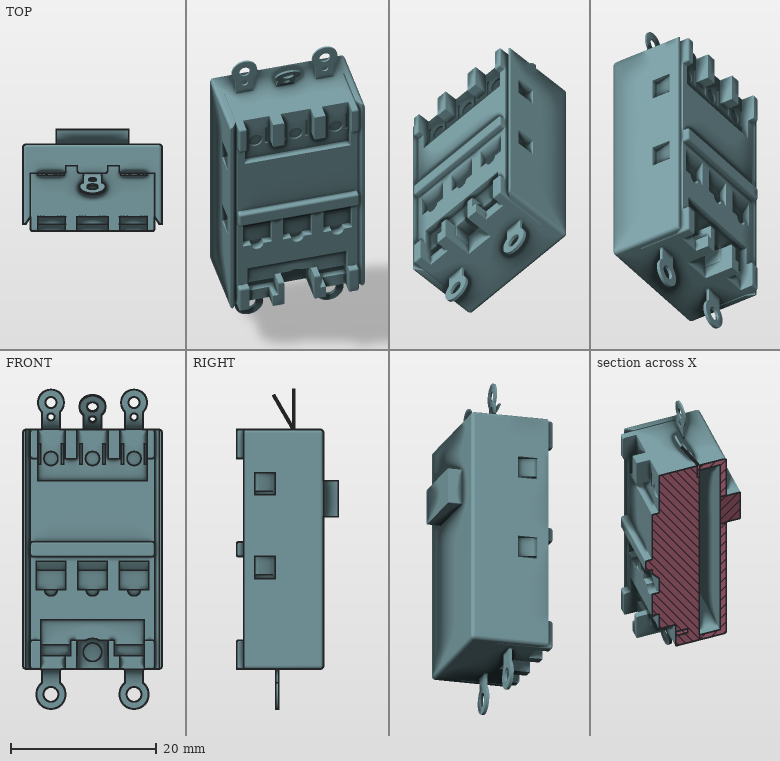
import cadquery as cq
import math


LENGTH = 33.0
COVER_WIDTH = 19.2
COVER_BACK = 11.95
BASE_WIDTH = 17.05
BASE_FRONT = 0.95
BASE_BACK = 7.95
PITCH = 5.7
COLUMNS = (-PITCH, 0, PITCH)

COVER_FILLET = 0.5
WALL = 1.0
LIP_FLAT = 0.4
LIP_BEVEL_DEPTH = 1.0

WINDOW_BOTTOMS = (12.45, 24.0)
WINDOW_HEIGHT = 3.1
WINDOW_FRONT = 2.5
WINDOW_BACK = 5.32
TAB_HEIGHT = 0.6
TAB_RAMP_FRONT = 2.9
TAB_RAMP_BACK = 4.9
TAB_BOTTOM_GAP = 0.55

BAR_FILLET = 0.25
FOOT_HEIGHT = 4.0
MIDDLE_BAR_BOTTOM = 15.5
MIDDLE_BAR_HEIGHT = 2.02
POCKET_FLOOR = 2.0

UPPER_POCKET_WIDTH = 15.05
UPPER_POCKET_HEIGHT = 7.05
UPPER_RIB_WIDTH = 1.6
UPPER_RIB_X = 2.95
SLIT_WIDTH = 0.4
SLIT_X = 1.6
SLIT_BOTTOM = 28.2
SLIT_HEIGHT = 2.8
DIMPLE_RADIUS = 0.95
DIMPLE_Z = LENGTH - FOOT_HEIGHT
RELIEF_DEPTH = 0.25

LOWER_POCKET_WIDTH = 14.25
LOWER_POCKET_HEIGHT = 6.8
LOWER_RIB_INNER = 2.15
LOWER_RIB_OUTER = 3.0
LOWER_RIB_FOOT = 3.8
STEP_Z = 1.85
NOTCH_TOP = 3.35
NOTCH_DEPTH = 0.9
SLOT_FLOOR = 4.45
SLOT_HALF_WIDTH = 2.05
RIVET_Z = 2.35
RIVET_RADIUS = 1.28
RIVET_LENGTH = 1.75
RIVET_CLEARANCE_RADIUS = 1.9

CONTACT_WINDOW_WIDTH = 4.1
CONTACT_WINDOW_BOTTOM = 10.95
CONTACT_WINDOW_TOP = 14.85
CONTACT_ROOF_DROP = 1.25
SCALLOP_RADIUS = 0.9
SCALLOP_FLOOR = 2.1

TONGUE_WIDTH = 1.6
TONGUE_BACK = 9.0
TONGUE_FILLET = 0.3

KNOB_WIDTH = 10.0
KNOB_HEIGHT = 5.0
KNOB_Z = 23.45
KNOB_BACK = 14.0
KNOB_FILLET = 0.15

LUG_REACH = 5.5
LUG_NECK = 2.5
LUG_ROOT = 2.2
UPPER_LUG_THICKNESS = 0.25
UPPER_LUG_FRONT = BASE_BACK - UPPER_LUG_THICKNESS
UPPER_LUG_RADIUS = 1.8
UPPER_LUG_HOLE = 0.75
UPPER_LUG_SMALL_HOLE = 0.5
UPPER_LUG_SMALL_HOLE_AT = 1.7
BEND_ANGLE = 30
LOWER_LUG_THICKNESS = 0.45
LOWER_LUG_RADIUS = 2.02
LOWER_LUG_HOLE = 1.0
LOWER_LUG_FRONT = 5.35
LOWER_LUG_ROOT_WIDTH = 3.05
LOWER_LUG_FLARE = (LOWER_LUG_ROOT_WIDTH - LUG_NECK) / 2

COVER_HALF = COVER_WIDTH / 2
BASE_HALF = BASE_WIDTH / 2


def block(x0, x1, y0, y1, z0, z1):
    """Box between two opposite corners."""
    return cq.Workplane("XY").box(x1 - x0, y1 - y0, z1 - z0, centered=False).translate((x0, y0, z0))


def centred_block(width, y0, y1, z0, z1):
    """Box that is symmetric about X = 0."""
    return block(-width / 2, width / 2, y0, y1, z0, z1)


def disc(radius, x, z, y0, y1):
    """Cylinder along Y."""
    return cq.Workplane("XZ", origin=(x, y0, z)).circle(radius).extrude(y0 - y1)


def both_sides(shape):
    """The shape together with its mirror image across X = 0."""
    return shape.union(shape.mirror("YZ"))


def front_bar(z0, height):
    """Raised cross bar with rounded front and end edges."""
    bar = centred_block(BASE_WIDTH, 0, BASE_FRONT, z0, z0 + height)
    return bar.edges("<Y or |Y").fillet(BAR_FILLET)


def tongue(x):
    """Locking tongue on the back of the base, with concave fillets at its foot."""
    half = TONGUE_WIDTH / 2
    foot = half + TONGUE_FILLET
    fillet_end = BASE_BACK + TONGUE_FILLET
    sag = TONGUE_FILLET * (1 - math.sqrt(0.5))
    outline = (
        cq.Workplane("XY", origin=(x, 0, LENGTH - WALL))
        .moveTo(-foot, BASE_BACK)
        .threePointArc((-half - sag, BASE_BACK + sag), (-half, fillet_end))
        .lineTo(-half, TONGUE_BACK)
        .lineTo(half, TONGUE_BACK)
        .lineTo(half, fillet_end)
        .threePointArc((half + sag, BASE_BACK + sag), (foot, BASE_BACK))
        .close()
    )
    return outline.extrude(WALL)


def snap_tab(window_bottom):
    """Snap tab on the +X side: flat at the front, ramping down to the back."""
    bottom = window_bottom + TAB_BOTTOM_GAP
    top = window_bottom + WINDOW_HEIGHT
    outer = BASE_HALF + TAB_HEIGHT
    points = [
        (BASE_HALF, WINDOW_FRONT),
        (outer, WINDOW_FRONT),
        (outer, TAB_RAMP_FRONT),
        (BASE_HALF, TAB_RAMP_BACK),
    ]
    return cq.Workplane("XY", origin=(0, 0, bottom)).polyline(points).close().extrude(top - bottom)


def upper_pocket(base):
    """Open pocket at the top with two ribs, contact slits and shallow dimples."""
    base = base.cut(centred_block(UPPER_POCKET_WIDTH, 0, POCKET_FLOOR, LENGTH - UPPER_POCKET_HEIGHT, LENGTH))
    for x in COLUMNS:
        for slit_x in (x - SLIT_X, x + SLIT_X):
            slit = centred_block(
                SLIT_WIDTH, POCKET_FLOOR, POCKET_FLOOR + RELIEF_DEPTH, SLIT_BOTTOM, SLIT_BOTTOM + SLIT_HEIGHT
            )
            base = base.cut(slit.translate((slit_x, 0, 0)))
        base = base.cut(disc(DIMPLE_RADIUS, x, DIMPLE_Z, POCKET_FLOOR, POCKET_FLOOR + RELIEF_DEPTH))
    rib = centred_block(UPPER_RIB_WIDTH, 0, POCKET_FLOOR, LENGTH - FOOT_HEIGHT, LENGTH)
    return base.union(both_sides(rib.translate((UPPER_RIB_X, 0, 0))))


def lower_pocket(base):
    """Open pocket at the bottom with two stepped ribs, side notches and a deep centre slot."""
    pocket_half = LOWER_POCKET_WIDTH / 2
    base = base.cut(centred_block(LOWER_POCKET_WIDTH, 0, POCKET_FLOOR, 0, LOWER_POCKET_HEIGHT))

    rib = block(LOWER_RIB_INNER, LOWER_RIB_OUTER, 0, POCKET_FLOOR, 0, FOOT_HEIGHT)
    rib = rib.edges("<Y and >Z").fillet(BAR_FILLET)
    rib_foot = block(LOWER_RIB_INNER, LOWER_RIB_FOOT, 0, POCKET_FLOOR, 0, STEP_Z)
    base = base.union(both_sides(rib.union(rib_foot)))

    notch = block(LOWER_RIB_OUTER, pocket_half, POCKET_FLOOR, POCKET_FLOOR + NOTCH_DEPTH, STEP_Z, NOTCH_TOP)
    base = base.cut(both_sides(notch))

    slot = centred_block(2 * SLOT_HALF_WIDTH, POCKET_FLOOR, SLOT_FLOOR, 0, FOOT_HEIGHT)
    slot_mouth = centred_block(2 * LOWER_RIB_INNER, POCKET_FLOOR, SLOT_FLOOR, 0, STEP_Z)
    clearance = disc(RIVET_CLEARANCE_RADIUS, 0, RIVET_Z, POCKET_FLOOR, SLOT_FLOOR)
    return base.cut(slot).cut(slot_mouth).cut(clearance)


def contact_window(x):
    """Window with a sloping roof and a round scallop below its sill."""
    profile = [
        (BASE_FRONT, CONTACT_WINDOW_BOTTOM),
        (POCKET_FLOOR, CONTACT_WINDOW_BOTTOM),
        (POCKET_FLOOR, CONTACT_WINDOW_TOP - CONTACT_ROOF_DROP),
        (BASE_FRONT, CONTACT_WINDOW_TOP),
    ]
    left = x - CONTACT_WINDOW_WIDTH / 2
    window = cq.Workplane("YZ", origin=(left, 0, 0)).polyline(profile).close().extrude(CONTACT_WINDOW_WIDTH)
    scallop = disc(SCALLOP_RADIUS, x, CONTACT_WINDOW_BOTTOM, BASE_FRONT, SCALLOP_FLOOR)
    lower_half = block(
        x - SCALLOP_RADIUS, x + SCALLOP_RADIUS, BASE_FRONT, SCALLOP_FLOOR,
        CONTACT_WINDOW_BOTTOM - SCALLOP_RADIUS, CONTACT_WINDOW_BOTTOM,
    )
    return window.union(scallop.intersect(lower_half))


def make_base():
    base = centred_block(BASE_WIDTH, BASE_FRONT, BASE_BACK, 0, LENGTH).edges("|Y").fillet(BAR_FILLET)
    bars = (
        (0, FOOT_HEIGHT),
        (MIDDLE_BAR_BOTTOM, MIDDLE_BAR_HEIGHT),
        (LENGTH - FOOT_HEIGHT, FOOT_HEIGHT),
    )
    for z0, height in bars:
        base = base.union(front_bar(z0, height))
    for x in (-PITCH / 2, PITCH / 2):
        base = base.union(tongue(x))
    for window_bottom in WINDOW_BOTTOMS:
        base = base.union(both_sides(snap_tab(window_bottom)))
    base = upper_pocket(base)
    base = lower_pocket(base)
    for x in COLUMNS:
        base = base.cut(contact_window(x))
    return base


def make_cover():
    cover = centred_block(COVER_WIDTH, BASE_FRONT, COVER_BACK, 0, LENGTH)
    cover = cover.edges("|Y or >Y").fillet(COVER_FILLET)
    channel = centred_block(BASE_WIDTH, BASE_FRONT, BASE_BACK, 0, LENGTH)
    cavity = centred_block(BASE_WIDTH, BASE_BACK, COVER_BACK - WALL, WALL, LENGTH - WALL)
    cover = cover.cut(channel).cut(cavity)

    bevel_points = [
        (BASE_HALF, BASE_FRONT),
        (COVER_HALF - LIP_FLAT, BASE_FRONT),
        (BASE_HALF, BASE_FRONT + LIP_BEVEL_DEPTH),
    ]
    cover = cover.cut(both_sides(cq.Workplane("XY").polyline(bevel_points).close().extrude(LENGTH)))

    for z0 in WINDOW_BOTTOMS:
        window = block(BASE_HALF, COVER_HALF, WINDOW_FRONT, WINDOW_BACK, z0, z0 + WINDOW_HEIGHT)
        cover = cover.cut(both_sides(window))
    for x in (-PITCH / 2, PITCH / 2):
        cover = cover.cut(tongue(x))
    return cover


def make_knob():
    bottom = KNOB_Z - KNOB_HEIGHT / 2
    knob = centred_block(KNOB_WIDTH, COVER_BACK - WALL, KNOB_BACK, bottom, bottom + KNOB_HEIGHT)
    return knob.edges("|Y").fillet(KNOB_FILLET)


def make_rivet():
    return disc(RIVET_RADIUS, 0, RIVET_Z, SLOT_FLOOR, SLOT_FLOOR + RIVET_LENGTH)


def upper_lug_root():
    """Upright part of an upper lug that is held in the base, with its back on the seam."""
    return centred_block(LUG_NECK, UPPER_LUG_FRONT, BASE_BACK, LENGTH - LUG_ROOT, LENGTH)


def upper_lug_blade():
    """Upright blade of an upper lug above the housing, with its two holes."""
    eye_z = LENGTH + LUG_REACH - UPPER_LUG_RADIUS
    small_hole_z = LENGTH + UPPER_LUG_SMALL_HOLE_AT
    blade = centred_block(LUG_NECK, UPPER_LUG_FRONT, BASE_BACK, LENGTH, eye_z)
    blade = blade.union(disc(UPPER_LUG_RADIUS, 0, eye_z, UPPER_LUG_FRONT, BASE_BACK))
    blade = blade.cut(disc(UPPER_LUG_HOLE, 0, eye_z, UPPER_LUG_FRONT, BASE_BACK))
    return blade.cut(disc(UPPER_LUG_SMALL_HOLE, 0, small_hole_z, UPPER_LUG_FRONT, BASE_BACK))


def straight_upper_lug(x):
    return upper_lug_root().union(upper_lug_blade()).translate((x, 0, 0))


def bent_upper_lug():
    """Centre lug, whose blade leans to the front about its back edge at the housing top."""
    blade = upper_lug_blade().rotate((0, BASE_BACK, LENGTH), (1, BASE_BACK, LENGTH), BEND_ANGLE)
    return upper_lug_root().union(blade)


def lower_lug(x):
    """Thick lug below the housing, flared where it leaves the base."""
    back = LOWER_LUG_FRONT + LOWER_LUG_THICKNESS
    eye_z = LOWER_LUG_RADIUS - LUG_REACH
    lug = centred_block(LUG_NECK, LOWER_LUG_FRONT, back, eye_z, 0)
    lug = lug.union(centred_block(LOWER_LUG_ROOT_WIDTH, LOWER_LUG_FRONT, back, -LOWER_LUG_FLARE, LUG_ROOT))
    for side in (-1, 1):
        corner_x = side * LOWER_LUG_ROOT_WIDTH / 2
        lug = lug.cut(disc(LOWER_LUG_FLARE, corner_x, -LOWER_LUG_FLARE, LOWER_LUG_FRONT, back))
    lug = lug.union(disc(LOWER_LUG_RADIUS, 0, eye_z, LOWER_LUG_FRONT, back))
    lug = lug.cut(disc(LOWER_LUG_HOLE, 0, eye_z, LOWER_LUG_FRONT, back))
    return lug.translate((x, 0, 0))


lugs = [straight_upper_lug(x) for x in (-PITCH, PITCH)]
lugs.append(bent_upper_lug())
lugs.extend(lower_lug(x) for x in (-PITCH, PITCH))
rivet = make_rivet()
knob = make_knob()

base = make_base().cut(rivet)
for lug in lugs:
    base = base.cut(lug)
cover = make_cover().cut(knob)

result = cq.Compound.makeCompound(
    [cover.val(), base.val(), knob.val(), rivet.val(), *[lug.val() for lug in lugs]]
)